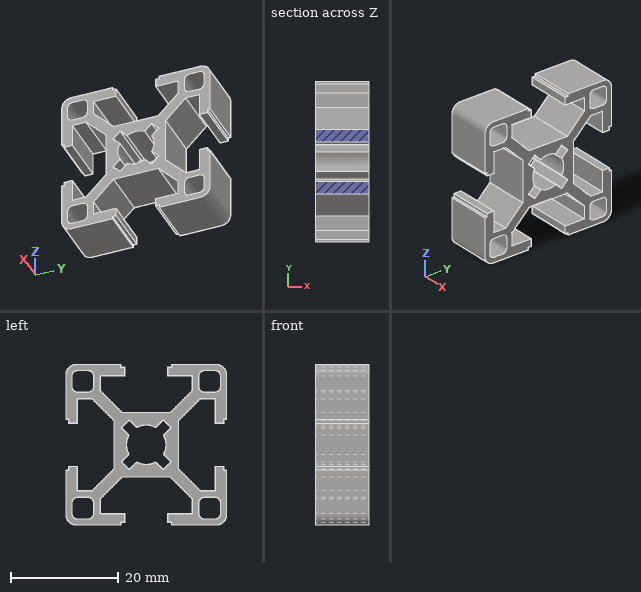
import cadquery as cq
import math

side = 30.0
length = 10.0
corner_radius = 2.0

slot_opening = 8.0
lip_thickness = 2.15
step_opening = 9.42
step_depth = 0.5
slot_inner_width = 17.1
core_width = 12.05
web_thickness = 2.15

channel_width = 4.0
channel_radius = 1.0
channel_center = 11.82

bore_diameter = 7.32
groove_width = 2.0
groove_span = 10.98

web_offset = web_thickness / math.sqrt(2)
half_side = side / 2
half_core = core_width / 2
half_inner = slot_inner_width / 2
QUARTER_TURNS = (0, 90, 180, 270)


def make_body():
    return cq.Workplane("YZ").rect(side, side).extrude(length).edges("|X").fillet(corner_radius)


def make_t_slot():
    """Void of the T-slot that opens toward +Z."""
    lip_inner = half_side - lip_thickness
    step_floor = half_side - step_depth
    right_half = [
        (half_core - web_offset, half_core),
        (half_inner, half_inner + web_offset),
        (half_inner, lip_inner),
        (slot_opening / 2, lip_inner),
        (slot_opening / 2, step_floor),
        (step_opening / 2, step_floor),
        (step_opening / 2, half_side),
    ]
    left_half = [(-y, z) for y, z in reversed(right_half)]
    return cq.Workplane("YZ").polyline(right_half + left_half).close().extrude(length)


def make_corner_channel():
    """Rounded square void that runs through the +Y +Z corner."""
    return (
        cq.Workplane("YZ")
        .center(channel_center, channel_center)
        .rect(channel_width, channel_width)
        .extrude(length)
        .edges("|X")
        .fillet(channel_radius)
    )


def make_bore():
    """Central round bore joined with two crossing diagonal grooves."""
    bore = cq.Workplane("YZ").circle(bore_diameter / 2).extrude(length)
    groove = cq.Workplane("YZ").rect(groove_span, groove_width).extrude(length)
    for angle in (45, 135):
        bore = bore.union(turn(groove, angle))
    return bore


def turn(shape, angle):
    """Rotate a shape about the profile axis."""
    return shape.rotate((0, 0, 0), (1, 0, 0), angle)


result = make_body().cut(make_bore())
for quarter_turn in QUARTER_TURNS:
    result = result.cut(turn(make_t_slot(), quarter_turn))
    result = result.cut(turn(make_corner_channel(), quarter_turn))